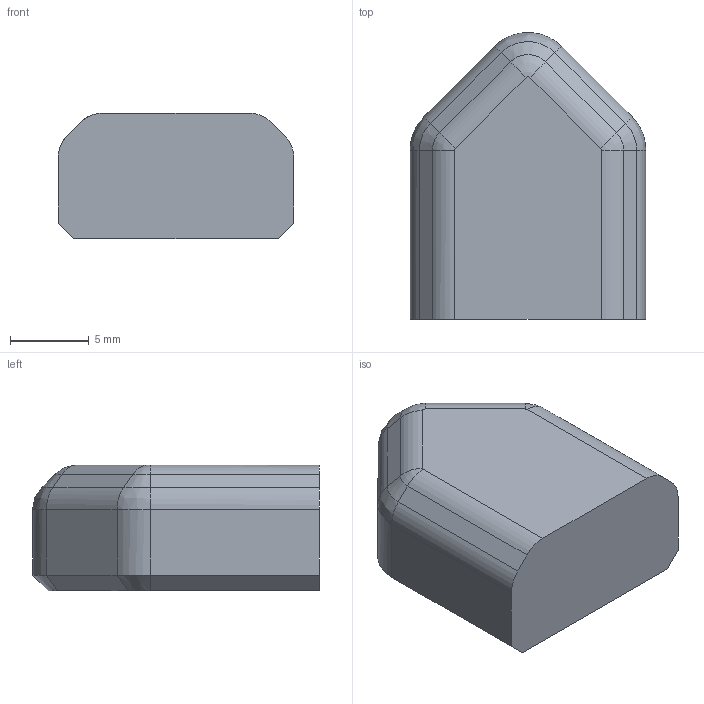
import cadquery as cq

width = 15.0
height = 8.0
shoulder_y = 12.0
corner_radius = 3.0
bottom_chamfer = 1.0
top_chamfer = 2.0
top_blend_radius = 2.0

half_width = width / 2
point_y = shoulder_y + half_width
tolerance = 0.01


def pointed_block():
    """Pentagonal block with rounded shoulders and point; flat back at Y = 0."""
    outline = [
        (-half_width, 0),
        (half_width, 0),
        (half_width, shoulder_y),
        (0, point_y),
        (-half_width, shoulder_y),
    ]
    block = cq.Workplane("XY").polyline(outline).close().extrude(height)
    front_corners = cq.selectors.BoxSelector(
        (-width, shoulder_y - tolerance, -height),
        (width, point_y + tolerance, 2 * height),
    )
    return block.edges("|Z").edges(front_corners).fillet(corner_radius)


def rim_at(body, z):
    """Edges lying at height z, leaving out the edge of the flat back face."""
    level = cq.selectors.BoxSelector(
        (-width, tolerance, z - tolerance),
        (width, point_y, z + tolerance),
    )
    return body.edges(level)


def chamfer_rims(body):
    """Bevel the bottom and top rims all round except along the back face."""
    body = rim_at(body, 0).chamfer(bottom_chamfer)
    return rim_at(body, height).chamfer(top_chamfer)


def blend_top_chamfer(body):
    """Round the upper and lower edges of the top chamfer together."""
    upper_rim = rim_at(body, height)
    lower_rim = rim_at(body, height - top_chamfer)
    return upper_rim.add(lower_rim).fillet(top_blend_radius)


result = blend_top_chamfer(chamfer_rims(pointed_block()))